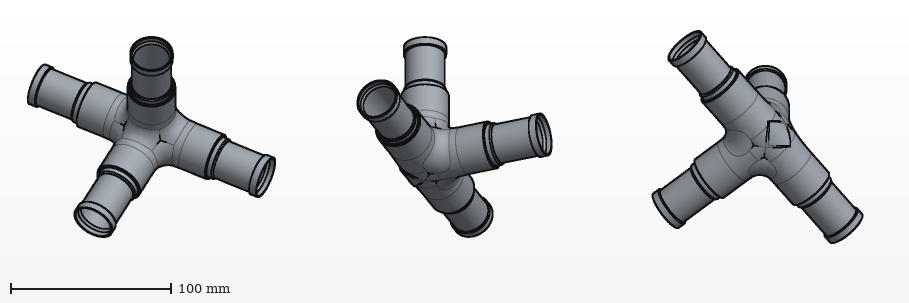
import cadquery as cq

reach = 80.0
sleeve_radius = 30.0 / 2
lip_radius = 28.0 / 2
collar_radius = 26.9 / 2
spigot_radius = 24.8 / 2
bore_radius = 22.7 / 2
mouth_radius = spigot_radius

sleeve_end = 45.0
lip_length = 0.5
lip_end = sleeve_end + lip_length
collar_end = 49.8
collar_chamfer_length = 1.1
collar_chamfer_depth = 0.6
rim_length = 4.8
rim_start = reach - rim_length
rim_taper = 0.5
mouth_depth = 3.2
mouth_taper = 2.0

swell_radius = 15.7
swell_start = 9.6
swell_end = 26.4
crotch_radius = 8.6
corner_radius = 13.5

ORIGIN = (0, 0, 0)
X_AXIS = (1, 0, 0)
Y_AXIS = (0, 1, 0)
Z_AXIS = (0, 0, 1)


def place_arm(shape, arm):
    """Turn a shape built along +Z so that it lies along the named arm."""
    turns = {"+Z": (X_AXIS, 0), "-Y": (X_AXIS, 90), "+X": (Y_AXIS, 90), "-X": (Y_AXIS, -90)}
    axis, angle = turns[arm]
    return shape.rotate(ORIGIN, axis, angle)


def revolve_about_z(points):
    """Revolve a closed outline of (radius, height) points about the Z axis."""
    return cq.Workplane("XZ").polyline(points).close().revolve(360, ORIGIN, Y_AXIS)


def arm_outside():
    return revolve_about_z([
        (0, 0),
        (swell_radius, 0),
        (swell_radius, swell_start),
        (sleeve_radius, swell_end),
        (sleeve_radius, sleeve_end),
        (lip_radius, sleeve_end),
        (collar_radius, lip_end),
        (collar_radius, collar_end - collar_chamfer_length),
        (collar_radius - collar_chamfer_depth, collar_end),
        (spigot_radius, collar_end),
        (spigot_radius, rim_start - rim_taper),
        (collar_radius, rim_start),
        (collar_radius, reach),
        (0, reach),
    ])


def arm_bore():
    mouth_bottom = reach - mouth_depth
    taper_bottom = mouth_bottom - mouth_taper
    return revolve_about_z([
        (0, 0),
        (bore_radius, 0),
        (bore_radius, taper_bottom),
        (mouth_radius, mouth_bottom),
        (mouth_radius, reach),
        (0, reach),
    ])


def crotch_elbow():
    """Quarter pipe bend joining the +X and +Z arms; its inner side rounds the crotch."""
    bend = sleeve_radius + crotch_radius
    return (
        cq.Workplane("XY", origin=(0, 0, bend))
        .circle(sleeve_radius)
        .revolve(90, (bend, 0, 0), (bend, -1, 0))
    )


def outer_corner():
    """Where the Y and Z arms turn into each other: their overlap, rounded along X."""
    size = swell_radius
    along_z = cq.Workplane("XY").circle(size).extrude(-size)
    along_y = cq.Workplane("XZ").circle(size).extrude(-size)
    block = (
        cq.Workplane("XY")
        .box(2 * size, size, size, centered=(True, False, False))
        .translate((0, 0, -size))
        .edges(">Y and <Z")
        .fillet(corner_radius)
    )
    return along_z.intersect(along_y).intersect(block)


arms = ["+X", "-X", "-Y", "+Z"]

body = outer_corner()
for arm in arms:
    body = body.union(place_arm(arm_outside(), arm))

elbow_xz = crotch_elbow()
elbow_xy = elbow_xz.rotate(ORIGIN, X_AXIS, 90)
elbow_yz = elbow_xz.rotate(ORIGIN, Z_AXIS, -90)
body = body.union(elbow_yz)
for elbow in (elbow_xz, elbow_xy):
    body = body.union(elbow).union(elbow.mirror("YZ"))

for arm in arms:
    body = body.cut(place_arm(arm_bore(), arm))

result = body